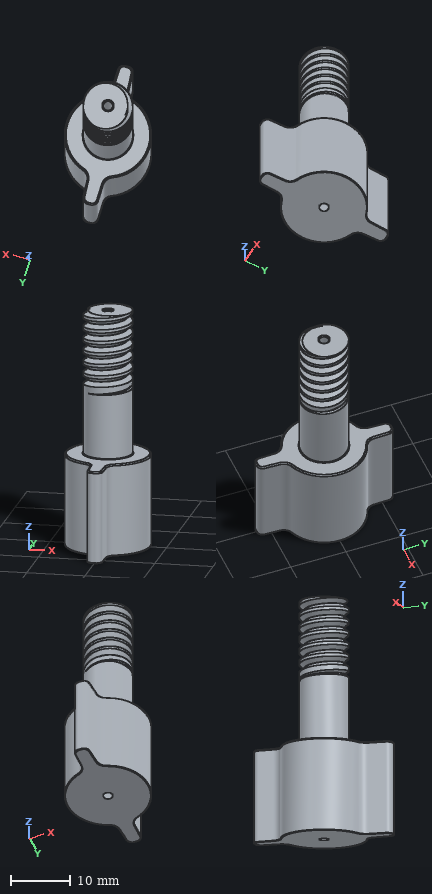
import cadquery as cq
import math

total_height = 41.0
wing_span = 24.6

hub_diameter = 14.65
hub_height = 16.0
wing_tip_width = 2.55
wing_taper_angle = 2.0
wing_tip_radius = 1.05
wing_root_radius = 1.75
top_edge_chamfer = 0.25
bottom_edge_chamfer = 0.12

shaft_diameter = 8.35
shaft_flare = 0.12
seam_angle = 90.0
bore_diameter = 1.6
bore_chamfer = 0.2

thread_pitch = 2.0
groove_depth = 0.85
groove_mouth = 1.45
groove_root_width = 0.05
groove_overrun = 0.2
thread_bottom = 28.82
runout_angle = 310.0

hub_radius = hub_diameter / 2
shaft_radius = shaft_diameter / 2
root_radius = shaft_radius - groove_depth


def make_wings():
    """Two tapered wings as one bar that is narrowest at both ends."""
    tip_y = wing_span / 2
    tip_x = wing_tip_width / 2
    middle_x = tip_x + tip_y * math.tan(math.radians(wing_taper_angle))
    outline = [
        (-tip_x, -tip_y),
        (tip_x, -tip_y),
        (middle_x, 0),
        (tip_x, tip_y),
        (-tip_x, tip_y),
        (-middle_x, 0),
    ]
    bar = cq.Workplane("XY").polyline(outline).close().extrude(hub_height)
    tip_edges = bar.faces("<Y or >Y").edges("|Z")
    return tip_edges.fillet(wing_tip_radius)


def make_knob():
    """Hub and wings, blended together, with chamfered top and bottom edges."""
    hub = cq.Workplane("XY").circle(hub_radius).extrude(hub_height)
    knob = hub.union(make_wings())

    corner_x = wing_tip_width
    root_box = cq.selectors.BoxSelector(
        (-corner_x, -hub_radius, 0), (corner_x, hub_radius, hub_height)
    )
    knob = knob.edges("|Z").edges(root_box).fillet(wing_root_radius)

    knob = knob.faces(">Z").chamfer(top_edge_chamfer)
    return knob.faces("<Z").chamfer(bottom_edge_chamfer)


def make_shaft():
    """Plain shaft with a small flare where it meets the hub."""
    shaft = cq.Workplane("XY").circle(shaft_radius).extrude(total_height)
    flare = cq.Solid.makeCone(
        shaft_radius + shaft_flare, shaft_radius, shaft_flare, cq.Vector(0, 0, hub_height)
    )
    shaft = shaft.union(cq.Workplane(flare))
    return shaft.rotate((0, 0, 0), (0, 0, 1), seam_angle)


def sweep_groove(height, cone_angle=360.0):
    """V cutter that starts at +X and climbs a helix, cylindrical at 360 degrees, else conical."""
    slant = 1 / math.cos(math.radians(cone_angle))
    path = cq.Wire.makeHelix(thread_pitch * slant, height * slant, root_radius, angle=cone_angle)
    flank_slope = (groove_mouth - groove_root_width) / 2 / groove_depth
    root_half = groove_root_width / 2
    outer_half = groove_mouth / 2 + groove_overrun * flank_slope
    outer_radius = shaft_radius + groove_overrun
    profile = [
        (root_radius, -root_half),
        (outer_radius, -outer_half),
        (outer_radius, outer_half),
        (root_radius, root_half),
    ]
    return cq.Workplane("XZ").polyline(profile).close().sweep(cq.Workplane(path), isFrenet=True)


def make_thread_groove():
    """Full-depth groove, running out past the shaft end, and its fading tail."""
    climb = total_height + thread_pitch / 2 - thread_bottom
    groove = sweep_groove(climb).rotate((0, 0, 0), (0, 0, 1), 180)

    runout_drop = thread_pitch * runout_angle / 360
    fade_angle = math.degrees(math.atan2(groove_depth, runout_drop))
    tail = sweep_groove(runout_drop, fade_angle).rotate((0, 0, 0), (0, 1, 0), 180)
    lift = (0, 0, thread_bottom)
    return groove.translate(lift), tail.translate(lift)


def make_bore():
    """Through bore with a chamfered mouth at the shaft end."""
    bore_radius = bore_diameter / 2
    bore = cq.Workplane("XY").circle(bore_radius).extrude(total_height)
    mouth = cq.Solid.makeCone(
        bore_radius, bore_radius + bore_chamfer, bore_chamfer,
        cq.Vector(0, 0, total_height - bore_chamfer),
    )
    return bore.union(cq.Workplane(mouth))


shaft = make_shaft()
for cutter in make_thread_groove():
    shaft = shaft.cut(cutter)
result = make_knob().union(shaft).cut(make_bore())